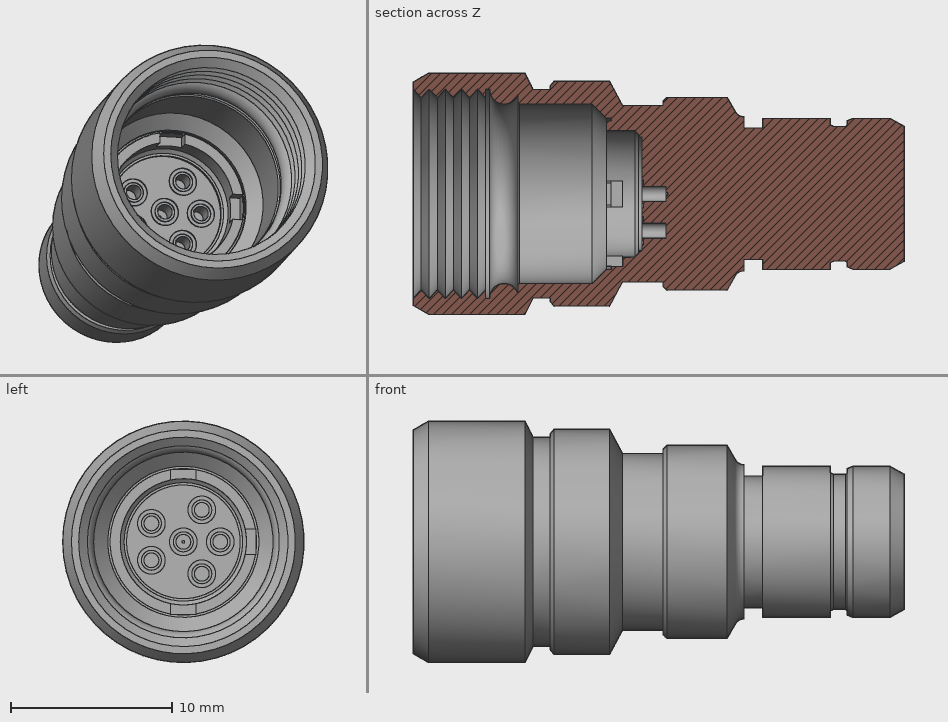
import cadquery as cq
import math

LENGTH = 30.5
BODY_RADIUS = 7.5

THREAD_MAJOR = 6.5
THREAD_MINOR = 5.96
THREAD_PITCH = 1.0
THREAD_TURNS = 4
THREAD_DEPTH = THREAD_MAJOR - THREAD_MINOR
THREAD_HALF_PITCH = THREAD_PITCH / 2
THREAD_END = THREAD_TURNS * THREAD_PITCH + THREAD_HALF_PITCH

SEAL_INNER = 5.57
SEAL_THICKNESS = 1.8
SEAL_X = 5.65
SEAL_SEAT_END = 6.5

BORE_RADIUS = 5.57
BORE_EDGE_CHAMFER = 0.1
INSERT_X = 12.0
TAPER_END_RADIUS = 4.69
TAPER_START_X = INSERT_X - (BORE_RADIUS - TAPER_END_RADIUS)

SHELL_OUTER = 4.55
SHELL_GAP_DEPTH = 0.3
CUP_RADIUS = 3.92
CUP_SEAT_RADIUS = 3.68
CUP_FLOOR_RADIUS = 3.53
CUP_DEPTH = 2.0
CUP_CHAMFER = CUP_RADIUS - CUP_SEAT_RADIUS
CUP_FLOOR_STEP = 0.2
CUP_SEAT_X = INSERT_X + CUP_DEPTH
CUP_FLOOR_X = CUP_SEAT_X + CUP_FLOOR_STEP
KEYWAY_WIDTH = 1.6
KEYWAY_RADIUS = 4.5
KEYWAY_DEPTH = 1.0
KEYWAY_ANGLES = (0, 90, 180)

CONTACT_CIRCLE = 2.29
CONTACT_ANGLES = (0, 60, 150, 210, 300)
CONTACT_CLEARANCE_RADIUS = 0.86
CONTACT_RADIUS = 0.62
CONTACT_BORE_RADIUS = 0.46
CONTACT_RECESS = 0.1
CONTACT_BORE_DEPTH = 1.5
CENTRE_DIMPLE_RADIUS = 0.08


def outer_body():
    """Stepped outside shape, revolved as a solid bar."""
    front = [
        (0, 6.95), (0.95, BODY_RADIUS), (6.95, BODY_RADIUS), (7.45, 6.5),
        (8.5, 6.5), (8.5, 6.7), (8.75, 7.0), (12.2, 7.0), (13.0, 5.5),
        (15.5, 5.5), (15.5, 5.75), (15.75, 6.0), (19.5, 6.0), (20.0, 5.13),
    ]
    rear = [
        (20.55, 4.1), (21.7, 4.1), (21.7, 4.7), (25.9, 4.7), (25.9, 4.3),
        (26.1, 4.2), (26.85, 4.2), (26.95, 4.3), (26.95, 4.55), (27.3, 4.7),
        (29.6, 4.7), (LENGTH, 4.2), (LENGTH, 0),
    ]
    outline = cq.Workplane("XY").moveTo(0, 0)
    for point in front:
        outline = outline.lineTo(*point)
    outline = outline.threePointArc((20.2, 4.9), (20.55, 4.8))
    for point in rear:
        outline = outline.lineTo(*point)
    return outline.close().revolve(360, (0, 0, 0), (1, 0, 0))


def cavity():
    """Hollow from the mouth down to the contact face, with ring grooves in the mouth."""
    outline = cq.Workplane("XY").moveTo(0, 0).lineTo(0, THREAD_MAJOR)
    for turn in range(THREAD_TURNS):
        root_x = (turn + 1) * THREAD_PITCH
        outline = outline.lineTo(root_x - THREAD_HALF_PITCH, THREAD_MINOR)
        outline = outline.lineTo(root_x, THREAD_MAJOR)
    inner_points = [
        (THREAD_END, THREAD_MINOR), (THREAD_END, THREAD_MAJOR), (SEAL_SEAT_END, THREAD_MAJOR),
        (SEAL_SEAT_END, BORE_RADIUS + BORE_EDGE_CHAMFER),
        (SEAL_SEAT_END + BORE_EDGE_CHAMFER, BORE_RADIUS), (TAPER_START_X, BORE_RADIUS),
        (INSERT_X, TAPER_END_RADIUS), (INSERT_X + SHELL_GAP_DEPTH, TAPER_END_RADIUS),
        (INSERT_X + SHELL_GAP_DEPTH, SHELL_OUTER), (INSERT_X, SHELL_OUTER),
        (INSERT_X, CUP_RADIUS), (CUP_SEAT_X - CUP_CHAMFER, CUP_RADIUS),
        (CUP_SEAT_X, CUP_SEAT_RADIUS), (CUP_SEAT_X, CUP_FLOOR_RADIUS),
        (CUP_FLOOR_X, CUP_FLOOR_RADIUS), (CUP_FLOOR_X, 0),
    ]
    for point in inner_points:
        outline = outline.lineTo(*point)
    return outline.close().revolve(360, (0, 0, 0), (1, 0, 0))


def seal():
    """Round sealing ring, half sunk in its seat."""
    section_radius = SEAL_THICKNESS / 2
    centre_radius = SEAL_INNER + section_radius
    return (
        cq.Workplane("XY")
        .center(SEAL_X, centre_radius)
        .circle(section_radius)
        .revolve(360, (-1, -centre_radius, 0), (1, -centre_radius, 0))
    )


def rod(x, radius, depth, y=0, z=0):
    """Cylinder along +X starting at the given X."""
    return cq.Workplane("YZ", origin=(x, y, z)).circle(radius).extrude(depth)


def keyways():
    """Square-sided notches in the rim of the insert shell."""
    notch = cq.Workplane("XY").box(
        KEYWAY_DEPTH, KEYWAY_RADIUS, KEYWAY_WIDTH, centered=(False, False, True)
    ).translate((INSERT_X, -KEYWAY_RADIUS, 0))
    cutter = cq.Workplane("XY")
    for angle in KEYWAY_ANGLES:
        cutter = cutter.add(notch.rotate((0, 0, 0), (1, 0, 0), angle - 90))
    return cutter.combine()


def contact_cut(y, z):
    """Clearance ring around one contact and the socket bore inside it."""
    clearance = rod(CUP_FLOOR_X, CONTACT_CLEARANCE_RADIUS, CONTACT_RECESS, y, z)
    sleeve = rod(CUP_FLOOR_X, CONTACT_RADIUS, CONTACT_RECESS, y, z)
    bore = rod(CUP_FLOOR_X, CONTACT_BORE_RADIUS, CONTACT_BORE_DEPTH, y, z)
    return clearance.cut(sleeve).union(bore)


result = outer_body().cut(cavity())
result = result.union(seal())
result = result.cut(keyways())
result = result.cut(contact_cut(0, 0))
for contact_angle in CONTACT_ANGLES:
    turn_angle = math.radians(contact_angle)
    contact_y = -CONTACT_CIRCLE * math.cos(turn_angle)
    contact_z = CONTACT_CIRCLE * math.sin(turn_angle)
    result = result.cut(contact_cut(contact_y, contact_z))
result = result.cut(rod(CUP_FLOOR_X + CONTACT_BORE_DEPTH, CENTRE_DIMPLE_RADIUS, CONTACT_RECESS))